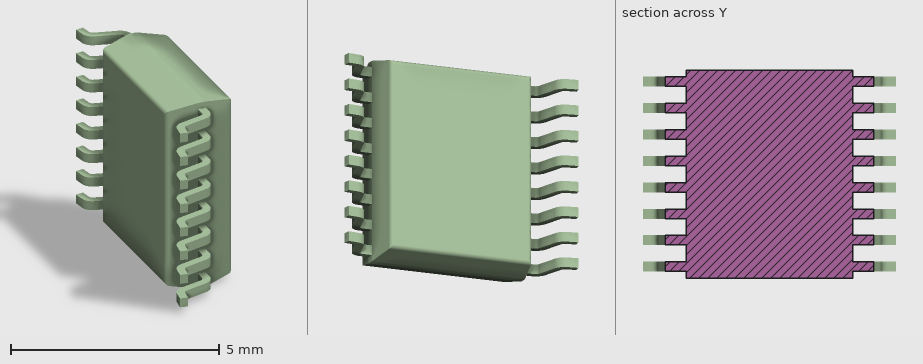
import cadquery as cq
import math


body_width = 4.0
body_height = 5.0
body_thickness = 1.75
band_thickness = 0.2
draft_angle = 12.0
face_fillet = 0.1

leads_per_side = 8
lead_pitch = 0.635
lead_width = 0.24
lead_thickness = band_thickness
lead_span = 6.06
overall_thickness = 1.9
inner_bend = 0.1
outer_bend = inner_bend + lead_thickness
foot_length = 0.26
shank_lean = math.radians(15.0)
foot_tilt = math.radians(8.0)

lead_root_x = body_width / 4
lead_top = lead_thickness / 2
lead_bottom = body_thickness / 2 - overall_thickness

upper_bend_drop = outer_bend * (1 - math.sin(shank_lean))
lower_bend_drop = inner_bend * (math.cos(foot_tilt) - math.sin(shank_lean))
foot_drop = foot_length * math.sin(foot_tilt) + lead_thickness * math.cos(foot_tilt)
shank_drop = lead_top - lead_bottom - upper_bend_drop - lower_bend_drop - foot_drop
shank_length = shank_drop / math.cos(shank_lean)

upper_bend_reach = outer_bend * math.cos(shank_lean)
shank_reach = shank_length * math.sin(shank_lean)
lower_bend_reach = inner_bend * (math.cos(shank_lean) - math.sin(foot_tilt))
foot_reach = foot_length * math.cos(foot_tilt)
upper_bend_x = lead_span / 2 - upper_bend_reach - shank_reach - lower_bend_reach - foot_reach


def body_half(direction):
    """Half of the body from its middle plane towards +Y (direction 1) or -Y (-1)."""
    middle = cq.Plane(origin=(0, 0, 0), xDir=(1, 0, 0), normal=(0, direction, 0))
    band_depth = band_thickness / 2
    taper_depth = (body_thickness - band_thickness) / 2
    band = cq.Workplane(middle).rect(body_width, body_height).extrude(band_depth)
    cap = (
        cq.Workplane(middle)
        .workplane(offset=band_depth)
        .rect(body_width, body_height)
        .extrude(taper_depth, taper=draft_angle)
    )
    outer_face = ">Y" if direction > 0 else "<Y"
    return band.union(cap.faces(outer_face).edges().fillet(face_fillet))


def polar(center, radius, angle):
    """Point at the given radius and angle (radians from +X towards +Y)."""
    return (center[0] + radius * math.cos(angle), center[1] + radius * math.sin(angle))


def bend_points(center, radius, start, end):
    """Start, middle and end point of an arc between two angles."""
    return [polar(center, radius, angle) for angle in (start, (start + end) / 2, end)]


def lead():
    """Lead on the +X side, centred on Z = 0, starting inside the body."""
    upper_center = (upper_bend_x, lead_top - outer_bend)
    upper_angles = (math.pi / 2, shank_lean)
    upper_outer = bend_points(upper_center, outer_bend, *upper_angles)
    upper_inner = bend_points(upper_center, inner_bend, *upper_angles)

    shank_end = polar(upper_outer[-1], shank_length, shank_lean - math.pi / 2)
    lower_center = polar(shank_end, inner_bend, shank_lean)
    foot_underside_angle = 3 * math.pi / 2 - foot_tilt
    lower_angles = (math.pi + shank_lean, foot_underside_angle)
    lower_inner = bend_points(lower_center, inner_bend, *lower_angles)
    lower_outer = bend_points(lower_center, outer_bend, *lower_angles)

    tip_top = polar(lower_inner[-1], foot_length, -foot_tilt)
    tip_bottom = polar(tip_top, lead_thickness, foot_underside_angle)

    return (
        cq.Workplane("XY")
        .workplane(offset=-lead_width / 2)
        .moveTo(lead_root_x, lead_top)
        .lineTo(*upper_outer[0])
        .threePointArc(upper_outer[1], upper_outer[2])
        .lineTo(*lower_inner[0])
        .threePointArc(lower_inner[1], lower_inner[2])
        .lineTo(*tip_top)
        .lineTo(*tip_bottom)
        .lineTo(*lower_outer[2])
        .threePointArc(lower_outer[1], lower_outer[0])
        .lineTo(*upper_inner[2])
        .threePointArc(upper_inner[1], upper_inner[0])
        .lineTo(lead_root_x, -lead_top)
        .close()
        .extrude(lead_width)
    )


result = body_half(1).union(body_half(-1))

right_lead = lead()
left_lead = right_lead.mirror("YZ")
for index in range(leads_per_side):
    lead_z = (index - (leads_per_side - 1) / 2) * lead_pitch
    for side_lead in (right_lead, left_lead):
        result = result.union(side_lead.translate((0, 0, lead_z)))